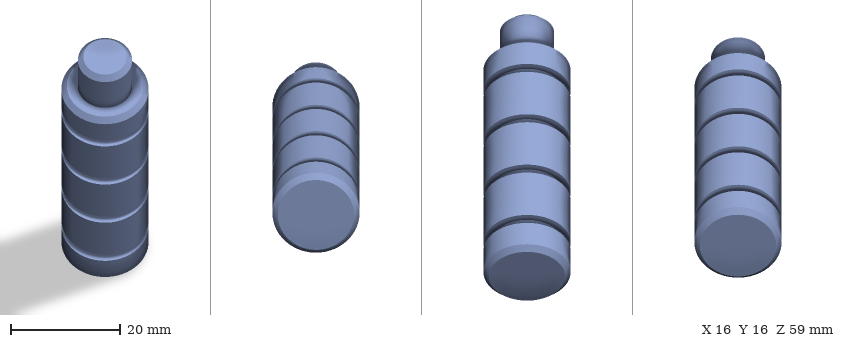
import cadquery as cq

total_length = 59.0
body_length = 50.0
body_diameter = 16.0
pin_diameter = 10.0
chamfer_size = 1.0

groove_count = 4
groove_pitch = 12.0
groove_width = 1.9
groove_diameter = 13.2


def make_body():
    """Main cylinder standing on Z = 0, chamfered at both ends."""
    body = cq.Workplane("XY").circle(body_diameter / 2).extrude(body_length)
    return body.faces("<Z or >Z").chamfer(chamfer_size)


def make_pin():
    """Smaller cylinder on top of the body, chamfered at its free end."""
    pin_length = total_length - body_length
    pin = cq.Workplane("XY", origin=(0, 0, body_length))
    pin = pin.circle(pin_diameter / 2).extrude(pin_length)
    return pin.faces(">Z").chamfer(chamfer_size)


def make_groove_cutter(center_z):
    """Ring that removes the material of one groove."""
    ring = cq.Workplane("XY", origin=(0, 0, center_z - groove_width / 2))
    return ring.circle(body_diameter).circle(groove_diameter / 2).extrude(groove_width)


result = make_body().union(make_pin())

lowest_groove_z = (body_length - (groove_count - 1) * groove_pitch) / 2
for index in range(groove_count):
    result = result.cut(make_groove_cutter(lowest_groove_z + index * groove_pitch))